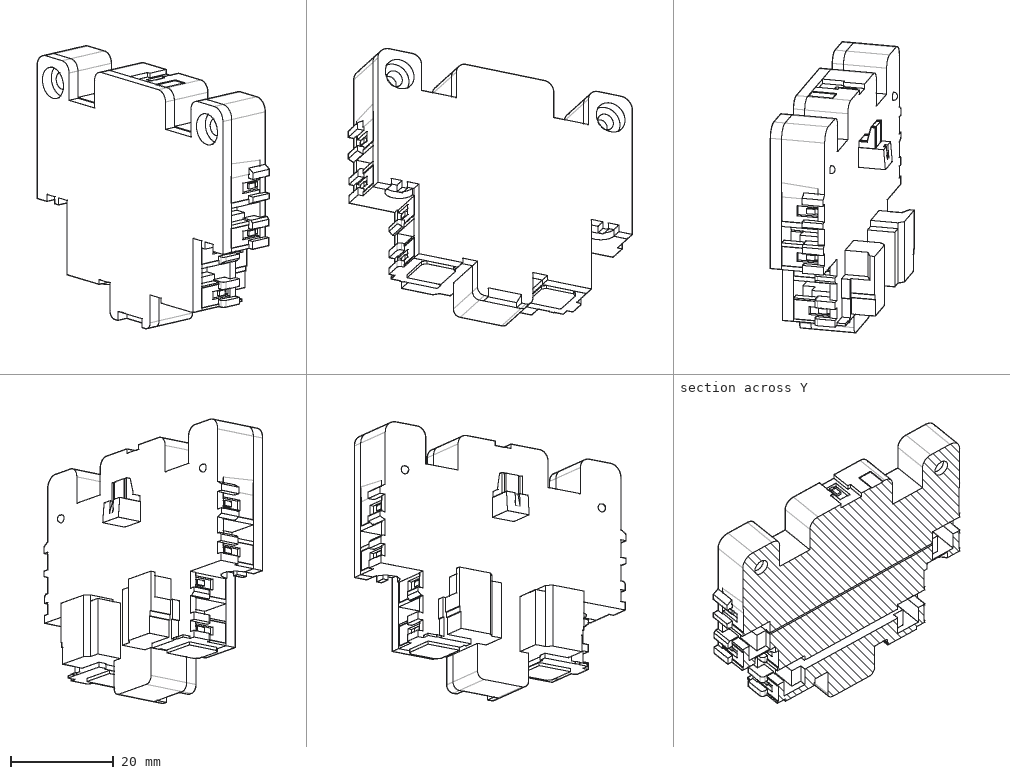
import cadquery as cq

HEIGHT = 49.0
TIP_HALF = 28.65
COVER_DEPTH = 2.3
HOUSING_BACK = 11.0
BLOCK_BACK = 17.5

UPPER_HALF = 27.45
LOWER_HALF = 18.6
TAB_HALF = 5.95
TAB_SLOT_HALF = 9.1
CROWN_HALF = 10.5
EAR_INNER = 18.0
NOTCH_FLOOR = 41.45
HOUSING_NOTCH_STEP = 0.2
SHOULDER_Z = 19.7
LOWER_Z = 6.1
TAB_ROOT_Z = 7.1
OUTER_RADIUS = 2.5
INNER_RADIUS = 2.05
TAB_RADIUS = 1.5

HOLE_X = 22.75
HOLE_Z = 44.0
COUNTERBORE_RADIUS = 3.1
HOLE_RADIUS = 1.65
HOLE_BOTTOM_RADIUS = 1.45
HOLE_DEPTH = 4.6
PIP_X = 22.9
PIP_Z = 39.6
PIP_RADIUS = 0.8

SCOOP_X = 21.7
SCOOP_RADIUS = 2.8
SCOOP_TOP = 21.15
SCOOP_BAR_INNER = 21.1
SCOOP_BAR_OUTER = 22.2
TAB_RECESS_HALF = 3.55
TAB_RECESS_FRONT_Z = 1.85
TAB_RECESS_BACK_Z = 1.1

CLIP_FRONT = 6.75
CAVITY_BACK = 9.6
LOWER_TIP_HALF = 19.8
CLIP_OVERLAP = 0.6
LOWER_CLIP_RADIUS = 0.7
GROOVE_DEPTH = 0.2
WINDOW_FRONT = 5.4
WINDOW_DEPTH = 0.8
LAMP_FRONT = 7.2
LAMP_BACK = 8.9
LAMP_HEIGHT = 0.5
LAMP_STEM_HEIGHT = 0.3


def outline(notch_step):
    """Front outline, symmetric about the Z axis; notch_step raises the floors of the top notches."""
    floor = NOTCH_FLOOR + notch_step
    half = [
        (0, 0), (TAB_HALF, 0), (TAB_HALF, TAB_ROOT_Z), (TAB_SLOT_HALF, TAB_ROOT_Z),
        (TAB_SLOT_HALF, LOWER_Z), (LOWER_HALF, LOWER_Z), (LOWER_HALF, SHOULDER_Z),
        (UPPER_HALF, SHOULDER_Z), (UPPER_HALF, HEIGHT), (EAR_INNER, HEIGHT), (EAR_INNER, floor),
        (CROWN_HALF, floor), (CROWN_HALF, HEIGHT), (0, HEIGHT),
    ]
    mirrored = [(-x, z) for x, z in reversed(half[1:-1])]
    return half + mirrored


def slab(front, back, notch_step):
    """Outline slab between two Y positions with its upright corners rounded."""
    body = front_prism(outline(notch_step), front, back)
    corners = [
        (UPPER_HALF, HEIGHT, OUTER_RADIUS), (EAR_INNER, HEIGHT, INNER_RADIUS),
        (CROWN_HALF, HEIGHT, INNER_RADIUS), (TAB_HALF, 0, TAB_RADIUS),
    ]
    middle = (front + back) / 2
    for x, z, radius in corners:
        for side in (-1, 1):
            edge = cq.selectors.NearestToPointSelector((side * x, middle, z))
            body = body.edges("|Y").edges(edge).fillet(radius)
    return body


def box(x0, x1, y0, y1, z0, z1):
    """Box given by its limits along each axis."""
    return cq.Workplane("XY").box(x1 - x0, y1 - y0, z1 - z0, centered=False).translate((x0, y0, z0))


def front_prism(points, front, back):
    """Prism along Y from an outline in X and Z."""
    return cq.Workplane("XZ", origin=(0, front, 0)).polyline(points).close().extrude(front - back)


def side_prism(points, x0, x1):
    """Prism along X from an outline in Y and Z."""
    return cq.Workplane("YZ", origin=(x0, 0, 0)).polyline(points).close().extrude(x1 - x0)


def both_sides(shape):
    """The shape, given on the +X side, together with its mirror image."""
    return shape.union(shape.mirror("YZ"))


def make_cover():
    """Flat front cover with counterbores, shoulder notches and a sloped recess in the tab."""
    cover = slab(0, COVER_DEPTH, 0)
    counterbore = cq.Workplane("XZ", origin=(HOLE_X, 0, HOLE_Z)).circle(COUNTERBORE_RADIUS)
    cover = cover.cut(both_sides(counterbore.extrude(-COVER_DEPTH)))
    scoop_outer = SCOOP_X + SCOOP_RADIUS
    for x0, x1 in ((LOWER_HALF, SCOOP_BAR_INNER), (SCOOP_BAR_OUTER, scoop_outer)):
        cover = cover.cut(both_sides(box(x0, x1, 0, COVER_DEPTH, SHOULDER_Z, SCOOP_TOP)))
    recess = [(0, 0), (0, TAB_RECESS_FRONT_Z), (COVER_DEPTH, TAB_RECESS_BACK_Z), (COVER_DEPTH, 0)]
    return cover.cut(side_prism(recess, -TAB_RECESS_HALF, TAB_RECESS_HALF))


def mounting_hole():
    """Blind screw hole that narrows slightly towards its end."""
    hole = cq.Workplane("XZ", origin=(HOLE_X, COVER_DEPTH, HOLE_Z)).circle(HOLE_RADIUS)
    hole = hole.workplane(offset=COVER_DEPTH - HOLE_DEPTH).circle(HOLE_BOTTOM_RADIUS).loft()
    return both_sides(hole)


def scoop():
    """Half-round trough open to the front and to the shoulder's underside."""
    trough = cq.Workplane("XY", origin=(SCOOP_X, COVER_DEPTH, SHOULDER_Z)).circle(SCOOP_RADIUS)
    return both_sides(trough.extrude(SCOOP_TOP - SHOULDER_Z))


def clip(tip, root, z_low, z_high, low_bevel, high_bevel):
    """Side clip; each bevel is (run along X, drop along Z) at its outer lower or upper corner."""
    points = [
        (root - CLIP_OVERLAP, z_low), (tip - low_bevel[0], z_low), (tip, z_low + low_bevel[1]),
        (tip, z_high - high_bevel[1]), (tip - high_bevel[0], z_high), (root - CLIP_OVERLAP, z_high),
    ]
    unique = [p for i, p in enumerate(points) if p != points[i - 1]]
    return front_prism(unique, CLIP_FRONT, HOUSING_BACK)


SQUARE = (0, 0)
SMALL = (0.45, 0.45)
SHORT_TIP_HALF = 28.45
UPPER_CLIPS = [
    (TIP_HALF, 33.85, 35.9, SQUARE, (TIP_HALF - UPPER_HALF, 0.75)),
    (TIP_HALF, 28.7, 30.3, (TIP_HALF - UPPER_HALF, 0.5), SQUARE),
    (SHORT_TIP_HALF, 23.7, 25.5, SQUARE, SMALL),
    (SHORT_TIP_HALF, SHOULDER_Z, 21.3, SQUARE, SQUARE),
]
LOWER_CLIPS = [
    (14.7, 16.25, (0.8, 0.7), SQUARE),
    (9.75, 11.2, SQUARE, SQUARE),
    (LOWER_Z, 7.5, SQUARE, SQUARE),
]


def side_clips():
    """All side clips; the lower ones have a rounded front corner."""
    clips = cq.Workplane()
    for tip, low, high, low_bevel, high_bevel in UPPER_CLIPS:
        clips = clips.union(clip(tip, UPPER_HALF, low, high, low_bevel, high_bevel))
    for low, high, low_bevel, high_bevel in LOWER_CLIPS:
        finger = clip(LOWER_TIP_HALF, LOWER_HALF, low, high, low_bevel, high_bevel)
        front_corner = cq.selectors.NearestToPointSelector((LOWER_TIP_HALF, CLIP_FRONT, (low + high) / 2))
        clips = clips.union(finger.edges("|Z").edges(front_corner).fillet(LOWER_CLIP_RADIUS))
    return both_sides(clips)


def indicator_window(wall, z_low, z_high, lamp_width):
    """Pocket in a +X wall; a small lamp stands on its floor, joined to the back by a lower stem."""
    floor = wall - WINDOW_DEPTH
    middle = (z_low + z_high) / 2
    lamp_z = (middle - lamp_width / 2, middle + lamp_width / 2)
    pocket = box(floor, wall, WINDOW_FRONT, CAVITY_BACK, z_low, z_high)
    lamp = box(floor, floor + LAMP_HEIGHT, LAMP_FRONT, LAMP_BACK, *lamp_z)
    stem = box(floor, floor + LAMP_STEM_HEIGHT, LAMP_BACK, CAVITY_BACK, *lamp_z)
    return pocket.cut(lamp).cut(stem)


WINDOWS = [
    (UPPER_HALF, (31.0, 33.05), (30.3, 33.85), (29.6, 34.6)),
    (UPPER_HALF, (21.65, 23.35), (21.3, 23.7), (20.5, 24.45)),
    (LOWER_HALF, (16.95, 19.05), (16.25, SHOULDER_Z), (15.45, SHOULDER_Z)),
    (LOWER_HALF, (7.8, 9.4), (7.5, 9.75), (6.65, 10.65)),
]
LAMP_WIDTH = 1.05


def side_windows():
    """T-shaped shallow grooves in the side walls, each with an indicator window in its floor."""
    cut = cq.Workplane()
    for wall, window, groove, front_groove in WINDOWS:
        floor = wall - GROOVE_DEPTH
        cut = cut.union(box(floor, wall, COVER_DEPTH, CLIP_FRONT, *front_groove))
        cut = cut.union(box(floor, wall, CLIP_FRONT, CAVITY_BACK, *groove))
        cut = cut.union(indicator_window(floor, *window, LAMP_WIDTH))
    return both_sides(cut)


RAMP_FRONT_TOP = 37.55
RAMP_BACK_TOP = 37.0
RAMP_BOTTOM = 34.6


def side_ramps():
    """Shallow ramp that deepens down towards the uppermost groove; its top edge falls to the back."""
    def section(top):
        return [(UPPER_HALF, top), (UPPER_HALF, RAMP_BOTTOM), (UPPER_HALF - GROOVE_DEPTH, RAMP_BOTTOM)]

    ramp = cq.Workplane("XZ", origin=(0, COVER_DEPTH, 0)).polyline(section(RAMP_FRONT_TOP)).close()
    ramp = ramp.workplane(offset=COVER_DEPTH - CAVITY_BACK).polyline(section(RAMP_BACK_TOP)).close()
    return both_sides(ramp.loft(ruled=True))


OPENING_LEDGE = 1.7
OPENING_PIT = 4.6
OPENING_REACH = 6.9
PIT_DROP = 4.0
SHELF_FRONT = 4.7
OPENINGS = [
    (UPPER_HALF, 25.5, 25.2, 28.6),
    (LOWER_HALF, 11.2, 11.0, 14.6),
]
UPPER_SLIT = (25.3, 25.6)
UPPER_SLIT_BACK = 4.7
LOWER_PASSAGE = (11.2, 13.45)
LOWER_PASSAGE_BACK = 8.15


def side_openings():
    """Wire openings in the side walls, joined by passages that run right through along X."""
    cut = cq.Workplane()
    for wall, sill, front_sill, ceiling in OPENINGS:
        inner = wall - OPENING_REACH
        pit_end = wall - OPENING_PIT
        pit_start = wall - OPENING_LEDGE
        pit_floor = sill - PIT_DROP
        cut = cut.union(box(inner, wall, COVER_DEPTH, CAVITY_BACK, sill, ceiling))
        cut = cut.union(box(pit_start, wall, COVER_DEPTH, CLIP_FRONT, front_sill, sill))
        cut = cut.union(box(pit_end, pit_start, COVER_DEPTH, CAVITY_BACK, pit_floor, sill))
        cut = cut.union(box(inner, pit_end, COVER_DEPTH, SHELF_FRONT, pit_floor, sill))
    cut = both_sides(cut)
    cut = cut.union(box(-UPPER_HALF, UPPER_HALF, COVER_DEPTH, UPPER_SLIT_BACK, *UPPER_SLIT))
    return cut.union(box(-LOWER_HALF, LOWER_HALF, COVER_DEPTH, LOWER_PASSAGE_BACK, *LOWER_PASSAGE))


TOP_GROOVE_DEPTH = 0.9
TOP_GROOVE_HALF = 1.85
TOP_GROOVE_FRONT_HALF = 2.5
TOP_WINDOW_HALF = 1.2
TOP_LAMP_WIDTH = 0.9
TOP_PANEL = (5.1, 7.95)
TOP_PANEL_BACK = 7.2


def top_groove():
    """T-shaped groove in the crown with an indicator window in its floor."""
    floor = HEIGHT - TOP_GROOVE_DEPTH
    cut = box(-TOP_GROOVE_HALF, TOP_GROOVE_HALF, CLIP_FRONT, HOUSING_BACK, floor, HEIGHT)
    cut = cut.union(
        box(-TOP_GROOVE_FRONT_HALF, TOP_GROOVE_FRONT_HALF, COVER_DEPTH, CLIP_FRONT, floor, HEIGHT)
    )
    window = indicator_window(floor, -TOP_WINDOW_HALF, TOP_WINDOW_HALF, TOP_LAMP_WIDTH)
    return cut.union(window.rotate((0, 0, 0), (0, 1, 0), -90))


def top_panel():
    """Shallow label panel beside the groove."""
    return box(*TOP_PANEL, COVER_DEPTH, TOP_PANEL_BACK, HEIGHT - GROOVE_DEPTH, HEIGHT)


PLATE_INNER = 9.3
PLATE_OUTER = 16.55
PLATE_EDGE = 0.75
PLATE_Z = 5.5


def bottom_plates():
    """Thin plates under the lower body, each with a bevel at its front corners."""
    plate = box(PLATE_INNER, PLATE_OUTER, COVER_DEPTH, CAVITY_BACK, PLATE_Z, LOWER_Z)
    return both_sides(plate.edges("|Z and <Y").chamfer(PLATE_EDGE))


BLOCK_INNER = 3.95
BLOCK_STEP_X = 6.25
BLOCK_OUTER = 14.5
BLOCK_STEP_BACK = 16.5
BLOCK_BEVEL = 1.05
BLOCK_Z = (7.1, 19.55)
BLOCK_STEP_TOP = 18.3
UPPER_INSET_Z = 11.55
LOWER_INSET_Z = 10.55
FACE_INSET = 0.25
FOOT_INNER = 8.6
FOOT_NARROW = 15.05
FOOT_OUTER = 18.55
FOOT_BACK = 12.7
FLANGE_TOP = 6.6
FOOT_TOP = 14.55
FLANGE_TAB_X = (15.65, 16.65)
FLANGE_TAB_HEIGHT = 0.2
UNDERCUT_X = 12.4
UNDERCUT_LIP = 16.55
UNDERCUT_DEEP = 15.6


def contact_blocks():
    """Rear blocks with a stepped inner side, an undercut outer side and a low foot."""
    base = HOUSING_BACK
    bottom, top = BLOCK_Z
    profile = [
        (BLOCK_STEP_X, base), (BLOCK_STEP_X, BLOCK_STEP_BACK), (BLOCK_STEP_X + BLOCK_BEVEL, BLOCK_BACK),
        (BLOCK_OUTER, BLOCK_BACK), (BLOCK_OUTER, base),
    ]
    block = cq.Workplane("XY", origin=(0, 0, bottom)).polyline(profile).close().extrude(top - bottom)
    undercut = [
        (BLOCK_OUTER, base), (BLOCK_OUTER, UNDERCUT_LIP), (UNDERCUT_X, UNDERCUT_DEEP), (UNDERCUT_X, base),
    ]
    block = block.cut(
        cq.Workplane("XY", origin=(0, 0, FOOT_TOP)).polyline(undercut).close().extrude(top - FOOT_TOP)
    )
    for count, inset_top in ((1, UPPER_INSET_Z), (2, LOWER_INSET_Z)):
        face = BLOCK_OUTER - count * FACE_INSET
        block = block.cut(box(face, BLOCK_OUTER, base, BLOCK_BACK, bottom, inset_top))
    block = block.union(box(BLOCK_INNER, BLOCK_STEP_X, base, BLOCK_STEP_BACK, bottom, BLOCK_STEP_TOP))
    return both_sides(block.union(contact_foot()))


def contact_foot():
    """Low foot of a contact block, on a wide thin flange with a small raised tab."""
    base = HOUSING_BACK
    flange = box(FOOT_INNER, FOOT_OUTER, base, FOOT_BACK, LOWER_Z, FLANGE_TOP)
    lower = box(FOOT_INNER, FOOT_NARROW - FACE_INSET, base, FOOT_BACK, FLANGE_TOP, LOWER_INSET_Z)
    upper = box(FOOT_INNER, FOOT_NARROW, base, FOOT_BACK, LOWER_INSET_Z, FOOT_TOP)
    raised = box(*FLANGE_TAB_X, FOOT_BACK, FOOT_BACK + FLANGE_TAB_HEIGHT, LOWER_Z, FLANGE_TOP)
    return flange.union(lower).union(upper).union(raised)


LATCH_HALF = 2.5
HOOK_HALF = 1.5
ARM_INNER = 1.85
ARM_OUTER = 2.4
LATCH_BACK = 16.4
LATCH_BACK_TOP = 16.05
LATCH_Z = (33.35, 37.4)
HOOK_BACK = 14.25
HOOK_TOP = 41.7
HOOK_TIP_FRONT = 13.4
HOOK_FOOT = (12.7, 39.05)
HOOK_BASE_Z = 38.6
SLOT_HALF = 0.5
SLOT_FRONT = 15.45
SLOT_BOTTOM = 34.35


def rail_latch():
    """Rear latch: a wide block carrying a hook with a narrow arm of the same profile on either side."""
    low, high = LATCH_Z
    base = HOUSING_BACK
    block = side_prism(
        [(base, low), (LATCH_BACK, low), (LATCH_BACK_TOP, high), (base, high)], -LATCH_HALF, LATCH_HALF
    )
    slot = side_prism(
        [(SLOT_FRONT, high), (LATCH_BACK, high), (LATCH_BACK, SLOT_BOTTOM)], -SLOT_HALF, SLOT_HALF
    )
    profile = [
        (base, high), (HOOK_BACK, high), (HOOK_BACK, HOOK_TOP), (HOOK_TIP_FRONT, HOOK_TOP),
        HOOK_FOOT, (HOOK_FOOT[0], HOOK_BASE_Z), (base, HOOK_BASE_Z),
    ]
    hook = side_prism(profile, -HOOK_HALF, HOOK_HALF)
    arms = both_sides(side_prism(profile, ARM_INNER, ARM_OUTER))
    return block.cut(slot).union(hook).union(arms)


def locating_pips():
    """Round pips on the housing's back face."""
    return both_sides(cq.Workplane("XY").sphere(PIP_RADIUS).translate((PIP_X, HOUSING_BACK, PIP_Z)))


def make_housing():
    """Housing behind the cover, with everything it carries and all its recesses."""
    housing = slab(COVER_DEPTH, HOUSING_BACK, HOUSING_NOTCH_STEP)
    for added in (side_clips(), bottom_plates(), contact_blocks(), rail_latch(), locating_pips()):
        housing = housing.union(added)
    cuts = (
        mounting_hole(), scoop(), side_windows(), side_ramps(), side_openings(), top_groove(), top_panel(),
    )
    for removed in cuts:
        housing = housing.cut(removed)
    return housing


cover = make_cover()
housing = make_housing()
result = cq.Compound.makeCompound([cover.solids().val(), housing.solids().val()])